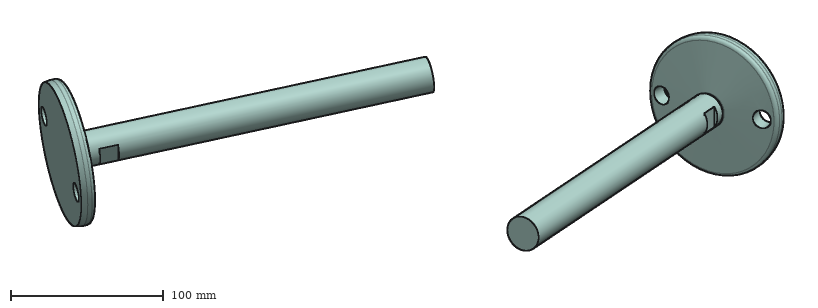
import cadquery as cq
import math

total_length = 252.0
foot_diameter = 98.0
rod_diameter = 24.0

underside_inset = 0.8
rim_bottom = 4.0
rim_top = 7.0
shoulder_radius = 3.0
cone_angle = 9.5
cone_top = 15.5

groove_depth = 0.63
groove_end = 17.0

flat_start = 24.0
flat_end = 36.8
across_flats = 19.0

hole_diameter = 12.5
hole_offset = 36.3
hole_overrun = 12.5

foot_radius = foot_diameter / 2
rod_radius = rod_diameter / 2
slope = math.radians(cone_angle)


def make_body():
    """Revolve the foot and rod about the Y axis."""
    shoulder_center = foot_radius - shoulder_radius

    def on_shoulder(angle):
        return (
            shoulder_center + shoulder_radius * math.cos(angle),
            rim_top + shoulder_radius * math.sin(angle),
        )

    tangent_angle = math.pi / 2 - slope
    profile = (
        cq.Workplane("XY")
        .lineTo(foot_radius - underside_inset, 0)
        .lineTo(foot_radius, rim_bottom)
        .lineTo(foot_radius, rim_top)
        .threePointArc(on_shoulder(tangent_angle / 2), on_shoulder(tangent_angle))
        .lineTo(rod_radius, cone_top)
        .threePointArc(
            (rod_radius - groove_depth, (cone_top + groove_end) / 2), (rod_radius, groove_end)
        )
        .lineTo(rod_radius, total_length)
        .lineTo(0, total_length)
        .close()
    )
    return profile.revolve(360, (0, 0, 0), (0, 1, 0))


def flat_cutter(side):
    """Block that removes the rod outside one wrench flat."""
    return cq.Workplane("XY").box(
        rod_diameter, flat_end - flat_start, rod_diameter
    ).translate((side * (across_flats + rod_diameter) / 2, (flat_start + flat_end) / 2, 0))


def hole_cutter(side):
    """Cylinder leaning outward so that it is square to the cone."""
    direction = cq.Vector(side * math.sin(slope), math.cos(slope), 0)
    start = cq.Vector(side * hole_offset, 0, 0) - direction * hole_overrun
    return cq.Solid.makeCylinder(
        hole_diameter / 2, cone_top + 2 * hole_overrun, start, direction
    )


result = make_body()
for side in (-1, 1):
    result = result.cut(flat_cutter(side)).cut(hole_cutter(side))